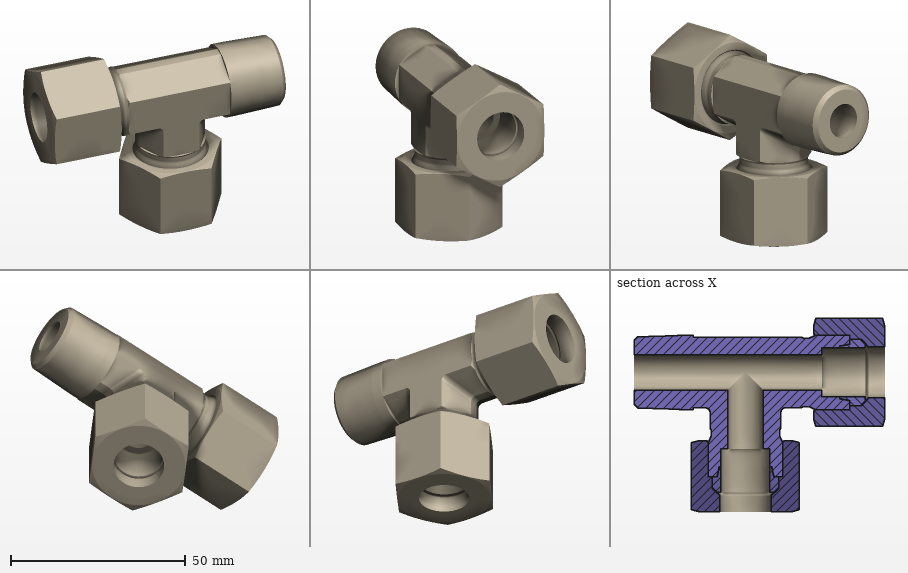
import cadquery as cq
import math


tube_reach = 40.0
overall_length = 72
male_reach = overall_length - tube_reach

arm_flats = 19.0
arm_height = 20.4
arm_length = 16.05
arm_chamfer_angle = 30
male_shoulder = 14.9
crotch_fillet = 1.45

bore_diameter = 10.0
tube_diameter = 14.0
tube_stop = 22.0
tube_end_reach = 30.0
neck_diameter = 19.7
neck_start = 16.6
neck_end = 17.9
neck_blend = 1.15
thread_diameter = 21.5
thread_cone_angle = 25

male_diameter = 21.5
taper_start = 18.0
taper_ratio = 1 / 16
male_chamfer = 1.15

nut_flats = 27.0
nut_length = 20.5
nut_face_diameter = 26.65
nut_chamfer_angle = 15
nut_mouth_diameter = 22.25
nut_hole_diameter = 14.55
nut_hole_length = 4.75

ring_back_diameter = 16.2
ring_diameter = 19.0
nose_length = 2.9
nose_angle = 12
nose_tip_diameter = ring_back_diameter - 2 * nose_length * math.tan(math.radians(nose_angle))

corner_per_flats = 1 / math.sqrt(3)
arm_corner = arm_flats * corner_per_flats
nut_corner = nut_flats * corner_per_flats

nut_back = tube_reach - nut_length
nut_cone_end = tube_reach - nut_hole_length
ring_back = nut_cone_end - (ring_back_diameter - nut_hole_diameter) / 2
ring_shoulder = nut_cone_end - (ring_diameter - nut_hole_diameter) / 2


def turn_to_run(shape):
    """Turn +Z to -Y."""
    return shape.rotate((0, 0, 0), (1, 0, 0), 90)


def turn_to_branch(shape):
    """Turn +Z to -Z."""
    return shape.rotate((0, 0, 0), (1, 0, 0), 180)


def revolve(profile):
    """Close a (radius, height) profile and revolve it about Z."""
    return profile.close().revolve(360, (0, 0, 0), (0, 1, 0))


def turned(points):
    """Solid of revolution about Z from (radius, height) corners."""
    return revolve(cq.Workplane("XZ").polyline(points))


def cylinder(diameter, start, end):
    return cq.Workplane("XY").workplane(offset=start).circle(diameter / 2).extrude(end - start)


def hexagon(flats, start, end):
    """Hexagonal prism along Z with two flats facing X and two corners on Y."""
    corner_diameter = 2 * flats * corner_per_flats
    plane = cq.Workplane("XY").workplane(offset=start)
    return plane.transformed(rotate=(0, 0, 90)).polygon(6, corner_diameter).extrude(end - start)


def arm(start):
    """Hexagonal arm with flattened corners on Y and its end corners chamfered down to the collar."""
    collar_radius = arm_height / 2
    chamfer_length = (arm_corner - collar_radius) * math.tan(math.radians(arm_chamfer_angle))
    envelope = turned([
        (0, start),
        (arm_corner, start),
        (arm_corner, arm_length - chamfer_length),
        (collar_radius, arm_length),
        (0, arm_length),
    ])
    slab = cq.Workplane("XY").workplane(offset=start).rect(arm_flats, arm_height).extrude(arm_length - start)
    return hexagon(arm_flats, start, arm_length).intersect(slab).intersect(envelope)


def tube_end():
    """Collar, necked groove, cone and thread that carry a nut."""
    neck = neck_diameter / 2
    thread = thread_diameter / 2
    angle = math.radians(thread_cone_angle)
    cone_radius = neck + neck_blend * (1 - math.cos(angle))
    cone_start = neck_end + neck_blend * math.sin(angle)
    cone_end = cone_start + (thread - cone_radius) / math.tan(angle)
    blend_middle = (
        neck + neck_blend * (1 - math.cos(angle / 2)),
        neck_end + neck_blend * math.sin(angle / 2),
    )
    profile = (
        cq.Workplane("XZ")
        .moveTo(0, arm_length)
        .lineTo(arm_height / 2, arm_length)
        .lineTo(neck, neck_start)
        .lineTo(neck, neck_end)
        .threePointArc(blend_middle, (cone_radius, cone_start))
        .lineTo(thread, cone_end)
        .lineTo(thread, tube_end_reach)
        .lineTo(0, tube_end_reach)
    )
    return revolve(profile)


def tube_bore():
    """Bore from the crossing, tube seat and conical mouth for the ring nose."""
    mouth_bottom = tube_end_reach - nose_length
    return turned([
        (0, 0),
        (bore_diameter / 2, 0),
        (bore_diameter / 2, tube_stop),
        (tube_diameter / 2, tube_stop),
        (tube_diameter / 2, mouth_bottom),
        (nose_tip_diameter / 2, mouth_bottom),
        (ring_back_diameter / 2, tube_end_reach),
        (0, tube_end_reach),
    ])


def male_end():
    """Tapered male end with a chamfered tip, along -Z so that turn_to_run brings it to +Y."""
    tip_start = male_reach - male_chamfer
    tip_radius = male_diameter / 2 - (tip_start - taper_start) * taper_ratio / 2
    return turned([
        (0, -male_shoulder),
        (male_diameter / 2, -male_shoulder),
        (male_diameter / 2, -taper_start),
        (tip_radius, -tip_start),
        (tip_radius - male_chamfer, -male_reach),
        (0, -male_reach),
    ])


def crotch_section(x, half_height):
    """Fillet cross-section at one X, in the corner between the run and the branch on the +Y side."""
    shortest = crotch_fillet * (1 - math.sqrt(0.5))
    return (
        cq.Workplane("YZ", origin=(x, half_height, -half_height))
        .lineTo(crotch_fillet, 0)
        .threePointArc((shortest, -shortest), (0, -crotch_fillet))
        .close()
        .val()
    )


def crotch_web():
    """Fillet that follows the flats of the two crossing hexagons, on the +Y side."""
    side_half_height = arm_corner / 2
    ridge_half_height = arm_height / 2
    ridge_half_width = (arm_corner - ridge_half_height) * math.sqrt(3)
    sections = [
        crotch_section(-arm_flats / 2, side_half_height),
        crotch_section(-ridge_half_width, ridge_half_height),
        crotch_section(ridge_half_width, ridge_half_height),
        crotch_section(arm_flats / 2, side_half_height),
    ]
    return cq.Workplane(cq.Solid.makeLoft(sections, True))


def make_body():
    tee = turn_to_run(arm(-male_shoulder)).union(turn_to_branch(arm(0))).clean()

    web = crotch_web()
    tee = tee.union(web).union(web.mirror("XZ"))
    tee = tee.union(turn_to_run(male_end()))
    for turn in (turn_to_run, turn_to_branch):
        tee = tee.union(turn(tube_end()))
    for turn in (turn_to_run, turn_to_branch):
        tee = tee.cut(turn(tube_bore()))
    return tee.cut(turn_to_run(cylinder(bore_diameter, -male_reach, 0)))


def make_nut():
    """Hexagon nut with chamfered ends, threaded bore and a 45 degree cone behind the tube hole."""
    face = nut_face_diameter / 2
    chamfer = (nut_corner - face) * math.tan(math.radians(nut_chamfer_angle))
    envelope = turned([
        (0, nut_back),
        (face, nut_back),
        (nut_corner, nut_back + chamfer),
        (nut_corner, tube_reach - chamfer),
        (face, tube_reach),
        (0, tube_reach),
    ])
    cavity = turned([
        (0, nut_back),
        (nut_mouth_diameter / 2, nut_back),
        (thread_diameter / 2, nut_back + (nut_mouth_diameter - thread_diameter) / 2),
        (thread_diameter / 2, tube_end_reach),
        (ring_diameter / 2, tube_end_reach),
        (ring_diameter / 2, ring_shoulder),
        (nut_hole_diameter / 2, nut_cone_end),
        (nut_hole_diameter / 2, tube_reach),
        (0, tube_reach),
    ])
    return hexagon(nut_flats, nut_back, tube_reach).intersect(envelope).cut(cavity)


def make_ring():
    """Cutting ring: nose seated in the body mouth, back cone pressed by the nut."""
    return turned([
        (tube_diameter / 2, tube_end_reach - nose_length),
        (nose_tip_diameter / 2, tube_end_reach - nose_length),
        (ring_back_diameter / 2, tube_end_reach),
        (ring_diameter / 2, tube_end_reach),
        (ring_diameter / 2, ring_shoulder),
        (ring_back_diameter / 2, ring_back),
        (tube_diameter / 2, ring_back),
    ])


body = make_body()
nuts = [turn(make_nut()) for turn in (turn_to_run, turn_to_branch)]
rings = [turn(make_ring()) for turn in (turn_to_run, turn_to_branch)]

result = cq.Compound.makeCompound([
    body.val(),
    *[nut.val() for nut in nuts],
    *[ring.val() for ring in rings],
])